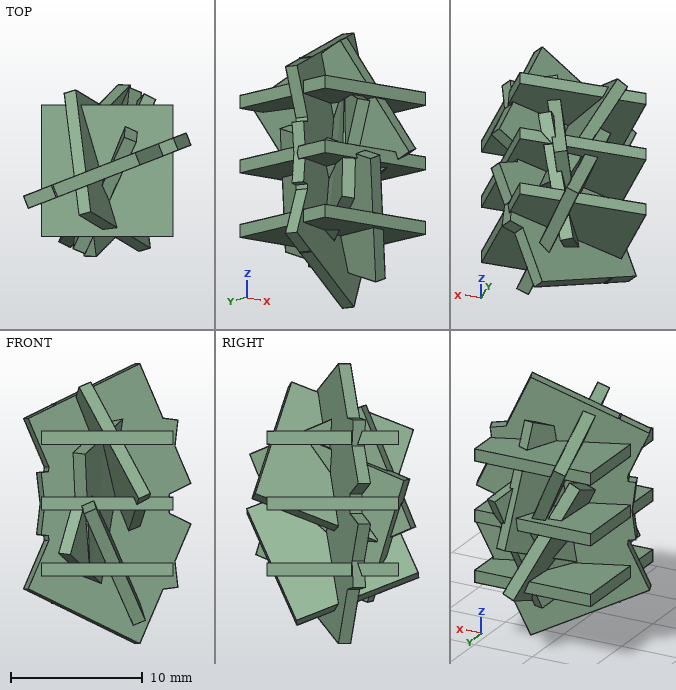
import cadquery as cq
import math

overall_height = 21.25
side_per_thickness = 10
highest_upright_level = 4
flat_levels = (-5, 0, 5)

upright_angle = 90
slight_angle = 7.0
lean_angle = 21.25
steep_angle = 24.6

steep_radians = math.radians(steep_angle)
center_span_in_sides = 2 * highest_upright_level / side_per_thickness
spun_square_in_sides = math.cos(steep_radians) + math.sin(steep_radians)
plate_side = overall_height / (center_span_in_sides + spun_square_in_sides)
plate_thickness = plate_side / side_per_thickness
level_spacing = plate_thickness

ORIGIN = (0, 0, 0)
AXES = {"X": (1, 0, 0), "Y": (0, 1, 0), "Z": (0, 0, 1)}


def plate(level, *turns):
    """Square plate turned about its own centre, one (axis, angle) after another, then set on its level."""
    body = cq.Workplane("XY").box(plate_side, plate_side, plate_thickness)
    for axis, angle in turns:
        body = body.rotate(ORIGIN, AXES[axis], angle)
    return body.translate((0, 0, level * level_spacing))


def upright_plate(level, spin):
    """Vertical plate spun in its own plane; all of these share one vertical plane."""
    return plate(level, ("X", upright_angle), ("Y", spin), ("Z", lean_angle))


def first_level_plate(side):
    """Nearly upright plate next to the middle plate, above (side 1) or below it (side -1)."""
    return plate(
        side,
        ("X", slight_angle - upright_angle),
        ("Y", -side * lean_angle),
        ("Z", upright_angle - steep_angle),
    )


def third_level_plate(side):
    """Steeply tipped plate between the two upright plates of one side."""
    return plate(
        3 * side,
        ("Y", upright_angle - steep_angle),
        ("X", -side * lean_angle),
        ("Z", slight_angle),
    )


plates = [plate(level) for level in flat_levels]

for side in (1, -1):
    plates.append(first_level_plate(side))
    plates.append(upright_plate(2 * side, side * slight_angle))
    plates.append(third_level_plate(side))
    plates.append(upright_plate(highest_upright_level * side, -side * steep_angle))

result = plates[0]
for next_plate in plates[1:]:
    result = result.union(next_plate)